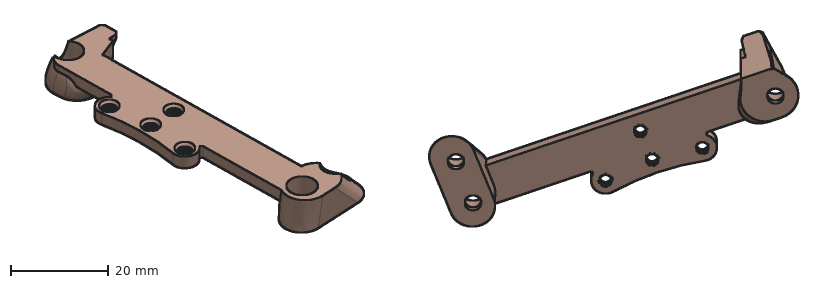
import cadquery as cq
import math

height = 8.0
bar_thickness = 3.0
bar_width = 8.85
bar_bottom = height - bar_thickness

bar_left = -30.7
bar_right = 37.8
bar_corner_radius = 2.9

lobe_x = 10.6
lobe_radius = 3.0
lobe_y = -lobe_radius
neck_radius = 0.5
front_mid_y = -5.0

screw_diameter = 2.55
screw_sink_diameter = 4.2
thread_major_diameter = 3.1
thread_turns = 6
thread_pitch = bar_thickness / thread_turns
screw_centers = [(0, 5.0), (0, -1.9), (-lobe_x, lobe_y), (lobe_x, lobe_y)]

mount_diameter = 3.4
mount_head_diameter = 6.5
seat_top = 3.0
seat_depth = (mount_head_diameter - mount_diameter) / 2
mount_centers = [(-29.65, 5.0), (37.1, 4.0), (37.1, 14.0)]

right_foot_sole = [(37.5, 15.4, 4.7), (37.5, 3.4, 4.7)]
right_foot_top = [(37.4, 8.15, 5.1), (37.4, 4.5, 5.1)]

left_foot_sections = [
    (0, (-31.6, 11.0), (-29.1, 5.4, 5.4), (-27.3, 5.1, 5.0)),
    (3.5, (-31.4, 11.55), (-28.1, 4.2, 5.1), (-24.6, 2.8, 3.7)),
    (height, (-31.2, 13.55), (-27.6, 5.6, 4.5), (-27.1, 5.6, 4.5)),
]
left_foot_back_right = (-24.6, 11.0)

tab_left = -30.95
tab_right = -26.3
tab_back = 16.55
tab_corner = 0.6
tab_step_x = -25.25
tab_step_y = 13.8
tab_foot_y = 11.2
tab_right_root = (-23.7, 9.2)
tab_left_root = (-31.3, 12.0)
tab_inner_y = 5.8
tab_inner_x = (-29.25, -24.6)


def hull(circles, z):
    """Outline wrapped around circles (x, y, radius) that are listed counterclockwise."""
    leaving = []
    arriving = []
    normals = []
    for index, (x, y, radius) in enumerate(circles):
        next_x, next_y, next_radius = circles[(index + 1) % len(circles)]
        distance = math.hypot(next_x - x, next_y - y)
        heading = math.atan2(next_y - y, next_x - x)
        normal = heading - math.acos((radius - next_radius) / distance)
        nx = math.cos(normal)
        ny = math.sin(normal)
        leaving.append((x + radius * nx, y + radius * ny))
        arriving.append((next_x + next_radius * nx, next_y + next_radius * ny))
        normals.append(normal)

    outline = cq.Workplane("XY").workplane(offset=z).moveTo(*arriving[-1])
    for index, (x, y, radius) in enumerate(circles):
        if radius > 0:
            turn = (normals[index] - normals[index - 1]) % (2 * math.pi)
            middle = normals[index - 1] + turn / 2
            on_arc = (x + radius * math.cos(middle), y + radius * math.sin(middle))
            outline = outline.threePointArc(on_arc, leaving[index])
        if index < len(circles) - 1:
            outline = outline.lineTo(*arriving[index])
    return outline.close().val()


def make_bar():
    middle_x = (bar_left + bar_right) / 2
    bar = (
        cq.Workplane("XY", origin=(middle_x, bar_width / 2, bar_bottom))
        .box(bar_right - bar_left, bar_width, bar_thickness, centered=(True, True, False))
    )
    return bar.edges("|Z and <X and <Y").fillet(bar_corner_radius)


def make_lobes():
    neck_x = lobe_x + 2 * math.sqrt(lobe_radius * neck_radius)
    neck_share = lobe_radius / (lobe_radius + neck_radius)
    neck_end = (
        lobe_x + (neck_x - lobe_x) * neck_share,
        lobe_y + (lobe_radius - neck_radius) * neck_share,
    )
    neck_end_angle = math.atan2(lobe_y + neck_radius, lobe_x - neck_x) % (2 * math.pi)
    neck_middle_angle = (math.pi / 2 + neck_end_angle) / 2
    neck_middle = (
        neck_x + neck_radius * math.cos(neck_middle_angle),
        -neck_radius + neck_radius * math.sin(neck_middle_angle),
    )

    lobe_drop = front_mid_y - lobe_y
    front_radius = (lobe_x**2 + lobe_drop**2 - lobe_radius**2) / (2 * (lobe_radius + lobe_drop))
    front_center_y = front_mid_y - front_radius
    front_share = front_radius / (front_radius + lobe_radius)
    front_end = (lobe_x * front_share, front_center_y + (lobe_y - front_center_y) * front_share)
    lobe_side = (lobe_x + lobe_radius * math.cos(math.pi / 4), lobe_y - lobe_radius * math.sin(math.pi / 4))

    def mirrored(point):
        return (-point[0], point[1])

    root_y = bar_width / 2
    return (
        cq.Workplane("XY").workplane(offset=bar_bottom)
        .moveTo(neck_x, root_y)
        .lineTo(neck_x, 0)
        .threePointArc(neck_middle, neck_end)
        .threePointArc(lobe_side, front_end)
        .threePointArc((0, front_mid_y), mirrored(front_end))
        .threePointArc(mirrored(lobe_side), mirrored(neck_end))
        .threePointArc(mirrored(neck_middle), (-neck_x, 0))
        .lineTo(-neck_x, root_y)
        .close()
        .extrude(bar_thickness)
    )


def make_right_foot():
    outlines = [hull(right_foot_sole, 0), hull(right_foot_top, height)]
    return cq.Workplane(cq.Solid.makeLoft(outlines, True))


def make_left_foot():
    outlines = [
        hull([(*back_left, 0), left_bulge, right_bulge, (*left_foot_back_right, 0)], z)
        for z, back_left, left_bulge, right_bulge in left_foot_sections
    ]
    return cq.Workplane(cq.Solid.makeLoft(outlines, False))


def make_tab():
    outline = [
        (tab_left, tab_back - tab_corner),
        (tab_left + tab_corner, tab_back),
        (tab_right - tab_corner, tab_back),
        (tab_right, tab_back - tab_corner),
        (tab_right, tab_step_y),
        (tab_step_x, tab_step_y),
        tab_right_root,
        (tab_inner_x[1], tab_inner_y),
        (tab_inner_x[0], tab_inner_y),
        tab_left_root,
    ]
    return cq.Workplane("XY").polyline(outline).close().extrude(height)


def make_undercut():
    """Wedge behind the sloping back face of the left end."""
    cut_width = 15.4
    cut_left = tab_left - cut_width / 2
    return (
        cq.Workplane("YZ", origin=(cut_left, 0, 0))
        .polyline([(tab_foot_y, 0), (tab_back, height), (tab_back, 0)])
        .close()
        .extrude(cut_width)
    )


def make_mount_cutter(x, y):
    """Through hole, conical seat and open head bore as one revolved cutter."""
    hole_radius = mount_diameter / 2
    head_radius = mount_head_diameter / 2
    profile = [
        (0, 0),
        (hole_radius, 0),
        (hole_radius, seat_top - seat_depth),
        (head_radius, seat_top),
        (head_radius, height),
        (0, height),
    ]
    cutter = cq.Workplane("XZ").polyline(profile).close().revolve(360, (0, 0), (0, 1))
    return cutter.translate((x, y, 0))


def make_screw_cutter(x, y):
    """Hole through the bar with thread grooves, modelled as stacked rings, and a 90 degree countersink."""
    hole_radius = screw_diameter / 2
    sink_radius = screw_sink_diameter / 2
    profile = [(0, bar_bottom), (hole_radius, bar_bottom)]
    for turn in range(thread_turns):
        ring_bottom = bar_bottom + turn * thread_pitch
        profile.append((thread_major_diameter / 2, ring_bottom + thread_pitch / 2))
        profile.append((hole_radius, ring_bottom + thread_pitch))
    profile.append((0, height))
    threaded_hole = cq.Workplane("XZ").polyline(profile).close().revolve(360, (0, 0), (0, 1))
    sink_profile = [(0, height - sink_radius), (sink_radius, height), (0, height)]
    sink = cq.Workplane("XZ").polyline(sink_profile).close().revolve(360, (0, 0), (0, 1))
    return threaded_hole.union(sink).translate((x, y, 0))


body = make_left_foot().union(make_tab()).cut(make_undercut())
body = body.union(make_bar()).union(make_lobes()).union(make_right_foot())
for center in mount_centers:
    body = body.cut(make_mount_cutter(*center))
for center in screw_centers:
    body = body.cut(make_screw_cutter(*center))

result = cq.Workplane(body.solids().val())